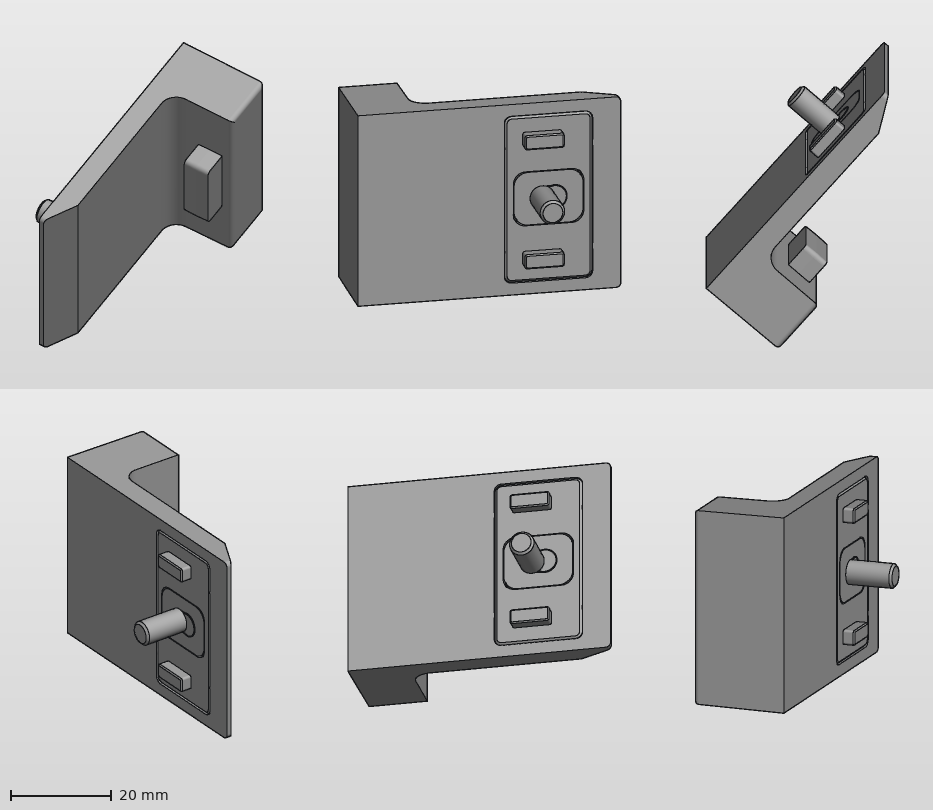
import cadquery as cq
import math


length = 53.5
height = 40.0
depth = 19.1
wall = 4.65
block_length = 12.05
tip_thickness = 1.0
bevel_length = 7.0
inner_radius = 3.5
edge_radius = 1.0
draft_angle = 0.5
draft_shrink = depth * math.tan(math.radians(draft_angle))

catch_width = 5.55
catch_height = 15.75
catch_reach = 5.35
catch_root = 2.15
catch_center_x = 13.9
catch_radius = 1.0
catch_draft = 1.5

pocket_length = 18.0
pocket_height = 35.0
pocket_depth = 2.0
pocket_radius = 1.5
pocket_center_y = 14.7
rib_length = 1.4
rib_spacing = 21.7

cover_gap = 0.08
cover_length = pocket_length - 2 * cover_gap
cover_height = pocket_height - 2 * cover_gap
cover_chamfer = 0.5
lug_length = 7.95
lug_height = 3.0
lug_reach = 2.4
lug_spacing = 25.0
lug_radius = 0.5
lug_chamfer = 0.25

insert_length = 14.0
insert_height = 11.0
insert_radius = 2.8
opening_radius = 2.5
insert_gap = 0.15

pin_diameter = 5.0
pin_reach = 9.65
pin_chamfer = 0.5
pin_offset = 1.3
neck_width = 4.7
foot_chamfer = 0.15
pin_center_y = pocket_center_y + pin_offset


def face_plane(center_y, x=0.0):
    """Plane at a given X whose local x, y and normal are the Y, Z and X axes."""
    return cq.Workplane("YZ", origin=(x, center_y, 0))


def rounded_plate(plate_length, plate_height, radius):
    """Rounded plate that fills the pocket depth behind the mounting face."""
    plate = face_plane(pocket_center_y).rect(plate_length, plate_height).extrude(pocket_depth)
    return plate.edges("|X").fillet(radius)


def make_bracket_body():
    """L-shaped plate and block, with drafted end faces and a bevelled tip."""
    block_y = length - block_length
    outline = (
        cq.Workplane("XY", origin=(0, 0, -height / 2))
        .moveTo(0, 0)
        .lineTo(tip_thickness, 0)
        .lineTo(wall, bevel_length)
        .lineTo(wall, block_y - inner_radius)
        .radiusArc((wall + inner_radius, block_y), inner_radius)
        .lineTo(depth, block_y)
        .lineTo(depth, length - draft_shrink)
        .lineTo(0, length)
        .close()
        .extrude(height)
    )
    front_half = height / 2
    back_half = front_half - draft_shrink
    drafted_envelope = (
        cq.Workplane("XZ")
        .polyline([(0, -front_half), (depth, -back_half), (depth, back_half), (0, front_half)])
        .close()
        .extrude(-length)
    )
    body = outline.intersect(drafted_envelope)
    body = body.faces(">X").edges().fillet(edge_radius)
    tip_corners = body.faces("<Y").edges("<Z or >Z")
    return tip_corners.fillet(edge_radius)


def make_catch():
    """Rounded catch that tapers to both sides of its middle plane."""
    total_length = catch_reach + catch_root
    center_y = length - block_length - catch_reach + total_length / 2
    section = cq.Sketch().rect(total_length, catch_height).vertices().fillet(catch_radius)
    middle = face_plane(center_y, catch_center_x).placeSketch(section)
    right_half = middle.extrude(catch_width / 2, taper=catch_draft)
    return right_half.union(right_half.mirror("YZ", (catch_center_x, 0, 0)))


def make_pocket_ribs():
    """Shallow arc-shaped ribs on both long walls of the pocket."""
    ribs = cq.Workplane("YZ")
    for side in (-1, 1):
        wall_y = pocket_center_y + side * pocket_length / 2
        for rib_z in (-rib_spacing / 2, rib_spacing / 2):
            rib = (
                face_plane(wall_y)
                .moveTo(0, rib_z - rib_length / 2)
                .threePointArc((-side * cover_gap, rib_z), (0, rib_z + rib_length / 2))
                .close()
                .extrude(pocket_depth)
            )
            ribs = ribs.add(rib)
    return ribs


def make_bracket():
    bracket = make_bracket_body().union(make_catch())
    bracket = bracket.cut(rounded_plate(pocket_length, pocket_height, pocket_radius))
    for rib in make_pocket_ribs().vals():
        bracket = bracket.union(cq.Workplane(rib))
    return bracket


def make_lug(center_z):
    lug = (
        face_plane(pin_center_y)
        .center(0, center_z)
        .rect(lug_length, lug_height)
        .extrude(-lug_reach)
    )
    lug = lug.edges("|X").fillet(lug_radius)
    return lug.faces("<X").chamfer(lug_chamfer)


def make_cover():
    """Chamfered plate with two lugs and an opening for the insert."""
    cover = rounded_plate(cover_length, cover_height, pocket_radius - cover_gap)
    cover = cover.faces("<X").chamfer(cover_chamfer)
    opening = rounded_plate(
        insert_length + 2 * insert_gap, insert_height + 2 * insert_gap, opening_radius
    )
    cover = cover.cut(opening)
    for lug_z in (-lug_spacing / 2, lug_spacing / 2):
        cover = cover.union(make_lug(lug_z))
    return cover


def make_foot_blank():
    """Two discs joined by a neck; the shape of the pin's foot and of the insert's slot."""
    foot = face_plane(pocket_center_y).rect(2 * pin_offset, neck_width).extrude(pocket_depth)
    for offset in (-pin_offset, pin_offset):
        disc = face_plane(pocket_center_y + offset).circle(pin_diameter / 2).extrude(pocket_depth)
        foot = foot.union(disc)
    return foot


def make_insert():
    return rounded_plate(insert_length, insert_height, insert_radius).cut(make_foot_blank())


def make_pin():
    foot = make_foot_blank().faces("<X").chamfer(foot_chamfer)
    shank = (
        face_plane(pin_center_y, -pin_reach)
        .circle(pin_diameter / 2)
        .extrude(pin_reach + pocket_depth)
        .faces("<X")
        .chamfer(pin_chamfer)
    )
    return foot.union(shank)


bracket = make_bracket()
cover = make_cover()
insert = make_insert()
pin = make_pin()

result = cq.Compound.makeCompound([bracket.val(), cover.val(), insert.val(), pin.val()])